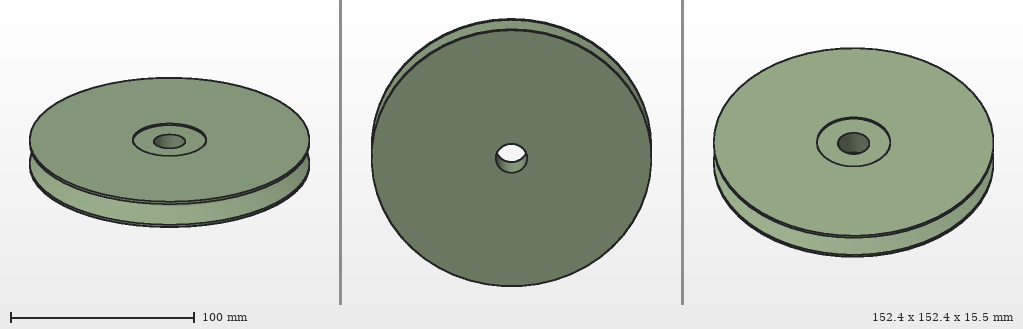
import cadquery as cq
import math

outer_diameter = 152.4
width = 15.5
root_diameter = 127.4
flank_angle = 22.2
root_radius = 1.7
bore_diameter = 17.0
recess_diameter = 40.0
recess_depth = 1.0

outer_radius = outer_diameter / 2
half_width = width / 2

flank = math.radians(flank_angle)
root_bottom = root_diameter / 2
arc_centre = root_bottom + root_radius
tangent_r = arc_centre - root_radius * math.sin(flank)
tangent_z = root_radius * math.cos(flank)
flank_end_z = tangent_z + (outer_radius - tangent_r) * math.tan(flank)


def grooved_disc():
    """Solid disc with a round-bottomed V groove, centred on the XY plane."""
    profile = (
        cq.Workplane("XZ")
        .moveTo(0, -half_width)
        .lineTo(outer_radius, -half_width)
        .lineTo(outer_radius, -flank_end_z)
        .lineTo(tangent_r, -tangent_z)
        .threePointArc((root_bottom, 0), (tangent_r, tangent_z))
        .lineTo(outer_radius, flank_end_z)
        .lineTo(outer_radius, half_width)
        .lineTo(0, half_width)
        .close()
    )
    return profile.revolve(360, (0, 0, 0), (0, 1, 0))


def cut_centre(body):
    """Through bore with a shallow round recess in the top face."""
    recessed = body.faces(">Z").workplane().circle(recess_diameter / 2).cutBlind(-recess_depth)
    return recessed.faces(">Z").workplane().circle(bore_diameter / 2).cutThruAll()


result = cut_centre(grooved_disc())